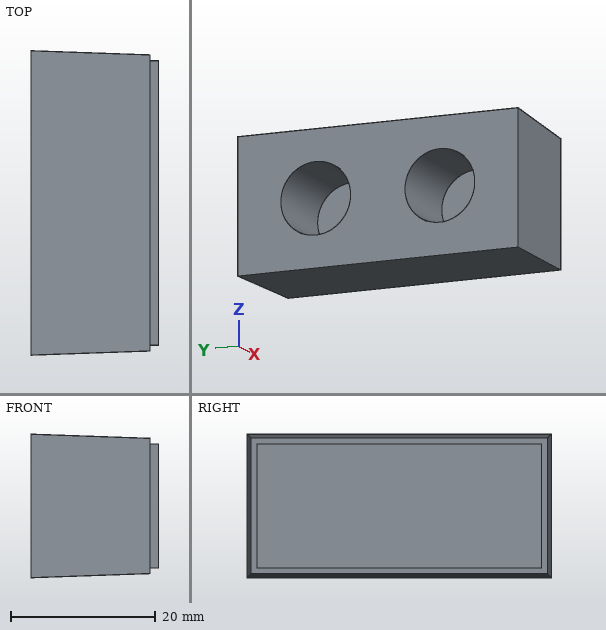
import cadquery as cq
import math

length = 42.2
height = 19.9
total_depth = 17.7
draft_angle = 2.0

pad_thickness = 1.2
pad_length = 39.45
pad_height = 17.2
body_depth = total_depth - pad_thickness

hole_diameter = 10.5
hole_spacing = 18.7
hole_depth = 13.0


def make_body():
    """Block drafted equally on its four sides."""
    inset = body_depth * math.tan(math.radians(draft_angle))
    return (
        cq.Workplane("YZ")
        .rect(length, height)
        .workplane(offset=body_depth)
        .rect(length - 2 * inset, height - 2 * inset)
        .loft(ruled=True)
    )


def make_pad():
    """Straight-sided pad standing on the small end."""
    return (
        cq.Workplane("YZ", origin=(body_depth, 0, 0))
        .rect(pad_length, pad_height)
        .extrude(pad_thickness)
    )


def make_holes():
    """Flat-bottomed cylinders, side by side along Y."""
    return (
        cq.Workplane("YZ")
        .pushPoints([(-hole_spacing / 2, 0), (hole_spacing / 2, 0)])
        .circle(hole_diameter / 2)
        .extrude(hole_depth)
    )


result = make_body().union(make_pad()).cut(make_holes())